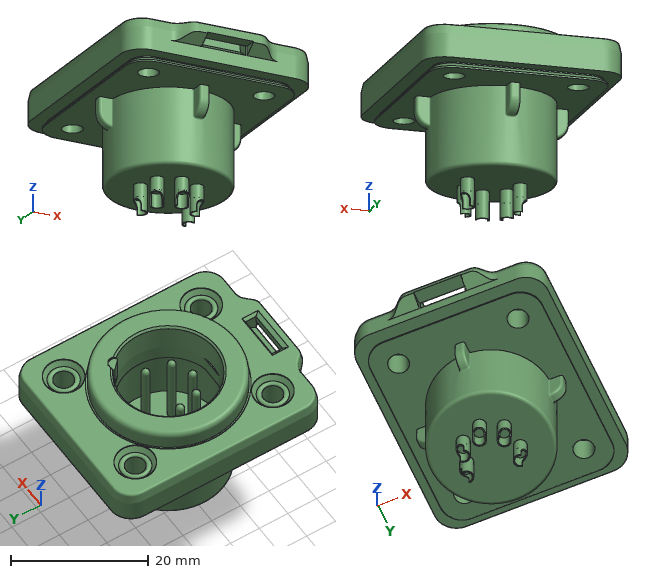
import cadquery as cq
import math


plate_width = 30.4
plate_half_length = 17.7
plate_thickness = 5.12
corner_radius = 3.48
draft_start = 3.6
draft_inset = 0.25
plate_edge_fillet = 0.37

overall_length = 37.4
lip_front = plate_half_length - overall_length
lip_tip_half_width = 5.9
lip_root_half_width = 7.9
lip_bend_radius = 1.9
lip_edge_bottom = 3.45
lip_root_bottom = 2.1

slot_half_width = 3.5
slot_back = -15.8
slot_floor_back = -16.05
slot_front = -17.6
slot_floor_top = 3.18
slot_mouth_half_width = 4.05
slot_mouth_back = -15.52
slot_mouth_front = -18.33
slot_mouth_depth = 0.37
lip_relief_half_width = 3.75

screw_pitch_x = 19.0
screw_pitch_y = 24.0
screw_diameter = 3.18
countersink_top_diameter = 6.2
countersink_bottom_diameter = 4.85
countersink_depth = 0.9
countersink_rim_depth = 0.15
screw_bead_height = 0.22

ring_top = 7.93
ring_diameter = 23.6
ring_edge_radius = 0.82
ring_groove_width = 0.3
ring_groove_depth = 0.1

gasket_width = 27.3
gasket_length = 32.4
gasket_thickness = 1.05
gasket_rim = 0.25
gasket_neck = 0.2
gasket_inset = 0.67

barrel_diameter = 19.2
barrel_bottom = -13.15
barrel_edge_radius = 0.52

rib_reach = 11.67
rib_width = 1.57
rib_bottom = -5.6
rib_corner_radius = 2.43
rib_edge_fillet = 0.37
rib_root_fillet = 0.2

bore_mouth_diameter = 16.9
bore_top_diameter = 16.25
bore_diameter = 15.65
bore_mouth_depth = 0.3
bore_step = 3.63
undercut_top = 1.2
undercut_diameter = 16.83
socket_floor = -7.48
key_angle = 45
key_slot_radius = 1.1
key_slot_depth = 0.37
key_face_distance = 7.75
key_slot_distance = 7.9
key_rib_width = 2.15
flat_distance = 7.6
flat_width = 4.1

contact_circle_radius = 4.25
contact_angles = (17.5, 170.5, 220, 270, 320)
pin_diameter = 1.3
pin_top = 4.82
tail_diameter = 2.05
overall_height = 25.4
tail_bottom = ring_top - overall_height
cup_diameter = 1.7
cup_depth = 2.25
cup_opening_offset = 0.2
cup_opening_height = 2.02
cup_opening_radius = 1.12


def box(x_range, y_range, z_range):
    """Box given by its limits along each axis."""
    size = [high - low for low, high in (x_range, y_range, z_range)]
    corner = (x_range[0], y_range[0], z_range[0])
    return cq.Workplane("XY").box(*size, centered=False).translate(corner)


def cylinder(diameter, bottom, top):
    return cq.Workplane("XY").workplane(offset=bottom).circle(diameter / 2).extrude(top - bottom)


def frustum(bottom_diameter, top_diameter, bottom, top):
    sketch = cq.Workplane("XY").workplane(offset=bottom).circle(bottom_diameter / 2)
    return sketch.workplane(offset=top - bottom).circle(top_diameter / 2).loft()


def lip_outline(height, taper=0):
    """Plate outline with the lip, extruded up from Z = 0 and narrowed by the taper angle."""
    half_width = plate_width / 2
    points = [
        (-half_width, plate_half_length),
        (-half_width, -plate_half_length),
        (-lip_root_half_width, -plate_half_length),
        (-lip_tip_half_width, lip_front),
        (lip_tip_half_width, lip_front),
        (lip_root_half_width, -plate_half_length),
        (half_width, -plate_half_length),
        (half_width, plate_half_length),
    ]
    prism = cq.Workplane("XY").polyline(points).close().extrude(height)
    prism = prism.edges("|Z").edges("<X or >X").fillet(corner_radius)
    margin = 0.37
    lip_corners = cq.selectors.BoxSelector(
        (-lip_root_half_width - margin, lip_front - margin, -margin),
        (lip_root_half_width + margin, margin - plate_half_length, height + margin),
    )
    prism = prism.edges("|Z").edges(lip_corners).fillet(lip_bend_radius)
    if taper == 0:
        return prism
    outline = prism.faces("<Z").wires().val()
    return cq.Workplane("XY").add(outline).toPending().extrude(height, taper=taper)


def make_plate():
    """Straight-sided plate with a drafted upper part and the sloping underside of the lip."""
    straight = (
        cq.Workplane("XY")
        .rect(plate_width, 2 * plate_half_length)
        .extrude(draft_start)
        .edges("|Z")
        .fillet(corner_radius)
    )
    drafted_height = plate_thickness - draft_start
    draft = math.degrees(math.atan(draft_inset / (drafted_height - plate_edge_fillet)))
    drafted = lip_outline(drafted_height, draft).faces(">Z").edges().fillet(plate_edge_fillet)
    drafted = drafted.translate((0, 0, draft_start))
    lip_profile = [
        (-plate_half_length, draft_start),
        (lip_front, draft_start),
        (lip_front, lip_edge_bottom),
        (-plate_half_length, lip_root_bottom),
    ]
    lip_support = (
        cq.Workplane("YZ").polyline(lip_profile).close().extrude(plate_width / 2, both=True)
    ).intersect(lip_outline(draft_start))
    return straight.union(drafted).union(lip_support)


def make_slot():
    """Slot with a flared mouth and a sloping floor that opens under the lip."""
    mouth_bottom = plate_thickness - slot_mouth_depth
    profile = [
        (slot_back, mouth_bottom),
        (slot_floor_back, slot_floor_top),
        (-plate_half_length, lip_root_bottom),
        (lip_front, lip_root_bottom),
        (lip_front, draft_start),
        (slot_front, draft_start),
        (slot_front, mouth_bottom),
    ]
    passage = cq.Workplane("YZ").polyline(profile).close().extrude(slot_half_width, both=True)
    mouth = (
        cq.Workplane("XY", origin=(0, (slot_back + slot_front) / 2, mouth_bottom))
        .rect(2 * slot_half_width, slot_back - slot_front)
        .workplane(offset=slot_mouth_depth)
        .center(0, (slot_mouth_back + slot_mouth_front - slot_back - slot_front) / 2)
        .rect(2 * slot_mouth_half_width, slot_mouth_back - slot_mouth_front)
        .loft()
    )
    relief = box(
        (-lip_relief_half_width, lip_relief_half_width),
        (lip_front, -plate_half_length),
        (lip_root_bottom, draft_start),
    )
    return passage.union(mouth).union(relief)


def make_screw_hole():
    """Through hole and rimmed countersink, with a rounded bead between them."""
    hole_radius = screw_diameter / 2
    seat_radius = countersink_bottom_diameter / 2
    rim_radius = countersink_top_diameter / 2
    seat = plate_thickness - countersink_depth
    bead_crest = ((hole_radius + seat_radius) / 2, seat + screw_bead_height)
    return (
        cq.Workplane("XZ")
        .moveTo(0, -gasket_thickness)
        .lineTo(hole_radius, -gasket_thickness)
        .lineTo(hole_radius, seat)
        .threePointArc(bead_crest, (seat_radius, seat))
        .lineTo(rim_radius, plate_thickness - countersink_rim_depth)
        .lineTo(rim_radius, plate_thickness)
        .lineTo(0, plate_thickness)
        .close()
        .revolve(360, (0, 0), (0, 1))
    )


def make_gasket():
    """Flat gasket whose flank flares outward towards its rim."""
    def layer(bottom, top, inset_bottom, inset_top):
        sketch = cq.Workplane("XY").workplane(offset=bottom)
        width = gasket_width - 2 * inset_bottom
        length = gasket_length - 2 * inset_bottom
        angle = math.degrees(math.atan((inset_top - inset_bottom) / (top - bottom)))
        outline = cq.Sketch().rect(width, length).vertices().fillet(corner_radius - inset_bottom)
        return sketch.placeSketch(outline).extrude(top - bottom, taper=angle)

    rim_top = gasket_rim - gasket_thickness
    rim = layer(-gasket_thickness, rim_top, 0, 0)
    flank = layer(rim_top, -gasket_neck, 0, gasket_inset)
    neck = layer(-gasket_neck, 0, gasket_inset, gasket_inset)
    return rim.union(flank).union(neck)


def make_ring():
    ring = cylinder(ring_diameter, 0, ring_top)
    return ring.faces(">Z").edges().fillet(ring_edge_radius)


def make_ring_groove():
    """Shallow groove in the plate round the foot of the ring."""
    groove_bottom = plate_thickness - ring_groove_depth
    outer = cylinder(ring_diameter + 2 * ring_groove_width, groove_bottom, plate_thickness)
    return outer.cut(cylinder(ring_diameter, groove_bottom, plate_thickness))


def make_barrel():
    barrel = cylinder(barrel_diameter, barrel_bottom, 0)
    return barrel.faces("<Z").edges().fillet(barrel_edge_radius)


def make_ribs():
    """Two crossed bars whose ends stand out of the barrel as four ribs."""
    half_width = rib_width / 2
    ribs = cq.Workplane("XY")
    for reach_x, reach_y in ((rib_reach, half_width), (half_width, rib_reach)):
        axis = "|Y" if reach_x > reach_y else "|X"
        cross_bar = box((-reach_x, reach_x), (-reach_y, reach_y), (rib_bottom, 0))
        cross_bar = cross_bar.faces("<Z").edges(axis).fillet(rib_corner_radius)
        cross_bar = cross_bar.faces("<Z").edges("not " + axis).fillet(rib_edge_fillet)
        ribs = ribs.add(cross_bar)
    return ribs.combine()


def make_ribbed_barrel():
    body = make_barrel().union(make_ribs())
    reach = barrel_diameter / 2
    root_region = cq.selectors.BoxSelector((-reach, -reach, rib_bottom), (reach, reach, 0))
    return body.edges("|Z").edges(root_region).fillet(rib_root_fillet)


def turn_to_key(solid):
    return solid.rotate((0, 0, 0), (0, 0, 1), key_angle)


def make_key(face_distance, bottom, top):
    """Upright key whose flat face stands at a distance from the connector axis."""
    half_width = key_rib_width / 2
    return turn_to_key(
        box((face_distance, undercut_diameter / 2), (-half_width, half_width), (bottom, top))
    )


def make_socket():
    """Stepped bore with its key slot, keys and flat."""
    mouth_bottom = ring_top - bore_mouth_depth
    mouth = frustum(bore_top_diameter, bore_mouth_diameter, mouth_bottom, ring_top)
    upper = frustum(bore_diameter, bore_top_diameter, bore_step, mouth_bottom)
    lower = cylinder(bore_diameter, undercut_top, bore_step)
    flat = box(
        (-flat_width / 2, flat_width / 2),
        (-bore_diameter / 2, -flat_distance),
        (undercut_top, bore_step),
    )
    undercut = cylinder(undercut_diameter, socket_floor, undercut_top)
    key_slot = cylinder(2 * key_slot_radius, ring_top - key_slot_depth, ring_top)
    key_slot = turn_to_key(key_slot.translate((key_slot_distance, 0, 0)))
    upper_key = make_key(key_face_distance, bore_step, ring_top - key_slot_depth)
    lower_key = make_key(bore_diameter / 2, socket_floor, undercut_top)
    socket = mouth.union(upper).cut(upper_key).union(lower.cut(flat))
    return socket.union(undercut.cut(lower_key)).union(key_slot)


def make_contact():
    """Pin, solder tail and cup, with the cup open towards +X."""
    pin_tip_center = pin_top - pin_diameter / 2
    pin = cylinder(pin_diameter, socket_floor, pin_tip_center)
    pin = pin.union(cq.Workplane("XY").sphere(pin_diameter / 2).translate((0, 0, pin_tip_center)))
    tail = cylinder(tail_diameter, tail_bottom, barrel_bottom)
    cup = cylinder(cup_diameter, tail_bottom, tail_bottom + cup_depth)
    opening = box(
        (cup_opening_offset, tail_diameter),
        (-tail_diameter, tail_diameter),
        (tail_bottom, tail_bottom + cup_opening_height),
    )
    opening = opening.edges("|Y and <X and >Z").fillet(cup_opening_radius)
    return pin.union(tail.cut(cup).cut(opening))


result = make_plate().union(make_gasket()).union(make_ring()).union(make_ribbed_barrel())
result = result.cut(make_slot()).cut(make_ring_groove()).cut(make_socket())

screw_hole = make_screw_hole()
for side_x in (-1, 1):
    for side_y in (-1, 1):
        place = (side_x * screw_pitch_x / 2, side_y * screw_pitch_y / 2, 0)
        result = result.cut(screw_hole.translate(place))

contact = make_contact().translate((contact_circle_radius, 0, 0))
for angle in contact_angles:
    result = result.union(contact.rotate((0, 0, 0), (0, 0, 1), angle))